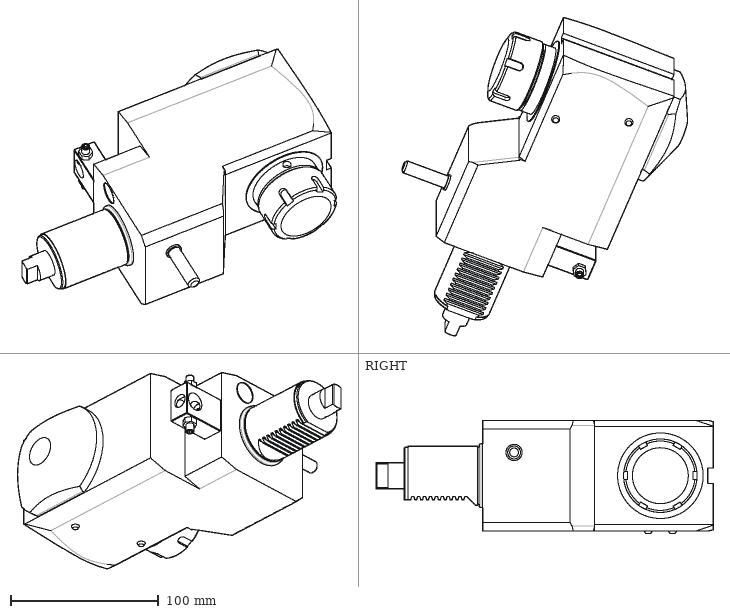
import cadquery as cq
import math


HEIGHT = 75.0
HALF_HEIGHT = HEIGHT / 2
HEAD_LEFT, HEAD_RIGHT = -71.5, 9.1
HEAD_FRONT, HEAD_BACK = 35.0, 156.0
NECK_LEFT, NECK_RIGHT = -38.5, 39.2
SLANT_INNER_Y, SLANT_OUTER_Y = 75.7, 59.0
BEVEL_ANGLE = math.radians(15)
BEVEL_TAN = math.tan(BEVEL_ANGLE)
LEFT_BEVEL_WIDTH = 14.1
HEAD_CHAMFER, NECK_CHAMFER = 4.3, 6.0
SLANT_BEVEL_WIDTH = 1.0
CROWN_X = -18.2
CROWN_DROP = 1.0
CORNER_DROP = 4.0
LEFT_CROWN_SLOPE, RIGHT_CROWN_SLOPE = 0.05, -0.22
KEYWAY_WIDTH, KEYWAY_DEPTH = 10.3, 3.6
PLUG_X, PLUG_Z, PLUG_RADIUS, PLUG_DEPTH = -16.0, 27.5, 7.5, 0.7
BUTTON_PLACES = [(-49.7, 128.4), (-3.0, 112.0)]
BUTTON_TOP_RADIUS, BUTTON_TIP_RADIUS, BUTTON_HEIGHT = 2.7, 1.8, 1.5

SPINDLE_Y = 120.2
SEAT_RADIUS, SEAT_END = 29.0, 9.8
RING_RADIUS, RING_END = 24.0, 17.3
GROOVE_RADIUS, NUT_START = 20.7, 19.0
NUT_RADIUS, NUT_END = 24.9, 42.2
NUT_BACK_CHAMFER = 1.0
NUT_SHOULDER_START, NUT_SHOULDER_END = 39.2, 40.5
NUT_SHOULDER_RADIUS, NUT_FACE_RADIUS = 23.5, 19.0
NUT_SLOTS = 6
SLOT_WIDTH, SLOT_DEPTH, SLOT_START = 5.5, 2.7, 29.0
RING_HOLE_X, RING_HOLE_RADIUS, RING_HOLE_DEPTH = 13.5, 2.7, 5.7
CAP_TIP, CAP_TIP_RADIUS = -91.9, 10.0
CAP_RIM, CAP_RADIUS = -77.7, 40.0
CAP_LIP_LENGTH = 1.5
CAP_BACK_CUT = 31.7
CAP_CORNER = 7.3

SHANK_RADIUS = 20.0
FLANGE_RADIUS, FLANGE_LENGTH, FLANGE_ROUND = 21.7, 2.5, 1.4
SHANK_END = 53.1
RELIEF_RADIUS, RELIEF_END = 19.4, 3.5
END_BAND_RADIUS, END_BAND_START = 19.4, 50.5
END_CHAMFER = 0.7
RACK_TIP, RACK_ROOT = 16.5, 14.1
RACK_PITCH, RACK_VALLEYS = 4.0, 10
FIRST_VALLEY = 11.5
VALLEY_FLOOR, VALLEY_MOUTH = 1.4, 2.7
TANG_RADIUS, TANG_SHOULDER, TANG_END = 9.0, 64.0, 72.0
TANG_WIDTH, TANG_CHAMFER = 8.2, 0.7

PIN_Y, PIN_Z, PIN_RADIUS, PIN_END = 21.2, 15.7, 4.3, 71.5
PIN_CHAMFER = 1.4
PIN_COLLAR_RADIUS, PIN_COLLAR_END = 5.5, 40.5

BLOCK_LEFT, BLOCK_FRONT, BLOCK_BACK = -71.0, 1.1, 16.6
BLOCK_HEIGHT, BLOCK_CHAMFER = 25.0, 0.5
PORT_X, PORT_RADIUS, PORT_DEPTH = -63.0, 6.4, 12.3
SIDE_PORT_Y, SIDE_PORT_RADIUS, SIDE_PORT_DEPTH = 7.8, 4.8, 17.0
FEED_RADIUS, FEED_DEPTH = 1.4, 22.8
STUD_Y, STUD_RADIUS, STUD_TIP, STUD_CHAMFER = 6.2, 2.7, 22.1, 0.5
SOCKET_SIZE, SOCKET_DEPTH = 3.2, 2.3
HEX_SIZE, HEX_TIP = 9.5, 16.5

OVERLAP = 2.3


def revolve_along_x(profile, y, z):
    """Turn a profile of (x, radius) points about the X-parallel axis through (y, z)."""
    sketch = cq.Workplane("XY", origin=(0, y, z)).polyline(profile).close()
    return sketch.revolve(360, (0, 0, 0), (1, 0, 0))


def beveled_block(left, right, front, back, chamfer):
    """Block with shallow bevels on the left edges and 45 degree chamfers on the right."""
    left_height = HALF_HEIGHT - LEFT_BEVEL_WIDTH * BEVEL_TAN
    upper = [
        (left, left_height),
        (left + LEFT_BEVEL_WIDTH, HALF_HEIGHT),
        (right - chamfer, HALF_HEIGHT),
        (right, HALF_HEIGHT - chamfer),
    ]
    lower = [(x, -z) for x, z in reversed(upper)]
    section = cq.Workplane("XZ", origin=(0, front, 0)).polyline(upper + lower).close()
    return section.extrude(front - back)


def back_bevel():
    """Wedge above a crowned line on the back face, rising toward the front at the bevel angle."""
    corner = HALF_HEIGHT - CORNER_DROP
    crown = HALF_HEIGHT - CROWN_DROP
    left = cq.Vector(HEAD_LEFT, HEAD_BACK, corner)
    right = cq.Vector(HEAD_RIGHT, HEAD_BACK, corner)
    top = cq.Vector(CROWN_X, HEAD_BACK, crown)
    slopes = (LEFT_CROWN_SLOPE, 0, RIGHT_CROWN_SLOPE)
    tangents = [cq.Vector(1, 0, slope) for slope in slopes]
    curve = cq.Edge.makeSpline([left, top, right], tangents)
    rise = cq.Vector(0, 0, HALF_HEIGHT)
    sides = cq.Wire.makePolygon([right, right + rise, left + rise, left])
    face = cq.Face.makeFromWires(cq.Wire.assembleEdges([curve] + sides.Edges()))
    reach = HEAD_BACK - HEAD_FRONT
    return cq.Workplane(cq.Solid.extrudeLinear(face, cq.Vector(0, -reach, reach * BEVEL_TAN)))


def head():
    body = beveled_block(HEAD_LEFT, HEAD_RIGHT, HEAD_FRONT, HEAD_BACK, HEAD_CHAMFER)
    bevel = back_bevel()
    return body.cut(bevel).cut(bevel.mirror("XY"))


def neck():
    body = beveled_block(NECK_LEFT, NECK_RIGHT, 0, SLANT_INNER_Y, NECK_CHAMFER)
    run = NECK_RIGHT - HEAD_RIGHT
    drop = SLANT_INNER_Y - SLANT_OUTER_Y
    bevel_start = HALF_HEIGHT - SLANT_BEVEL_WIDTH / BEVEL_TAN
    section = [
        (0, bevel_start),
        (-SLANT_BEVEL_WIDTH, HALF_HEIGHT),
        (run, HALF_HEIGHT),
        (run, -HALF_HEIGHT),
        (-SLANT_BEVEL_WIDTH, -HALF_HEIGHT),
        (0, -bevel_start),
    ]
    across_slant = cq.Plane((HEAD_RIGHT, SLANT_INNER_Y, 0), (drop, run, 0), (run, -drop, 0))
    slant = cq.Workplane(across_slant).polyline(section).close().extrude(2 * run)
    return body.cut(slant)


def keyway():
    """Shallow slot across the whole back face."""
    length = HEAD_RIGHT - HEAD_LEFT
    slot = cq.Workplane("XY").box(
        length, KEYWAY_DEPTH, KEYWAY_WIDTH, centered=(False, False, True)
    )
    return slot.translate((HEAD_LEFT, HEAD_BACK - KEYWAY_DEPTH, 0))


def plug_recess():
    return cq.Workplane("XZ").center(PLUG_X, PLUG_Z).circle(PLUG_RADIUS).extrude(-PLUG_DEPTH)


def buttons():
    """Small tapered buttons on the underside."""
    base = cq.Workplane("XY", origin=(0, 0, -HALF_HEIGHT)).pushPoints(BUTTON_PLACES)
    taper = math.degrees(math.atan2(BUTTON_TOP_RADIUS - BUTTON_TIP_RADIUS, BUTTON_HEIGHT))
    return base.circle(BUTTON_TOP_RADIUS).extrude(-BUTTON_HEIGHT, taper=taper)


def cap():
    """Conical cap on the left, trimmed to the housing outline."""
    cone = revolve_along_x(
        [
            (CAP_TIP, 0),
            (CAP_TIP, CAP_TIP_RADIUS),
            (CAP_RIM, CAP_RADIUS),
            (HEAD_LEFT + OVERLAP, CAP_RADIUS),
            (HEAD_LEFT + OVERLAP, 0),
        ],
        SPINDLE_Y,
        0,
    )
    length = HEAD_LEFT + OVERLAP - CAP_TIP
    lip_x = HEAD_LEFT - CAP_LIP_LENGTH
    lip_z = HALF_HEIGHT - (LEFT_BEVEL_WIDTH + CAP_LIP_LENGTH) * BEVEL_TAN
    tip_z = lip_z - (lip_x - CAP_TIP) * BEVEL_TAN
    upper = [(CAP_TIP, tip_z), (lip_x, lip_z), (HEAD_LEFT + OVERLAP, lip_z)]
    lower = [(x, -z) for x, z in reversed(upper)]
    side_envelope = (
        cq.Workplane("XZ", origin=(0, SPINDLE_Y, 0))
        .polyline(upper + lower)
        .close()
        .extrude(CAP_RADIUS, both=True)
    )
    back_width = CAP_RADIUS + CAP_BACK_CUT
    end_envelope = (
        cq.Workplane("XY")
        .box(length, back_width, 2 * lip_z, centered=(False, False, True))
        .translate((CAP_TIP, SPINDLE_Y - CAP_RADIUS, 0))
        .edges("|X and >Y")
        .chamfer(CAP_CORNER)
    )
    return cone.intersect(side_envelope).intersect(end_envelope)


def spindle():
    """Seat disc, ring, groove and collet nut, stepping out to the right."""
    body = revolve_along_x(
        [
            (HEAD_RIGHT - OVERLAP, 0),
            (HEAD_RIGHT - OVERLAP, SEAT_RADIUS),
            (SEAT_END, SEAT_RADIUS),
            (SEAT_END, RING_RADIUS),
            (RING_END, RING_RADIUS),
            (RING_END, GROOVE_RADIUS),
            (NUT_START, GROOVE_RADIUS),
            (NUT_START, NUT_RADIUS - NUT_BACK_CHAMFER),
            (NUT_START + NUT_BACK_CHAMFER, NUT_RADIUS),
            (NUT_SHOULDER_START, NUT_RADIUS),
            (NUT_SHOULDER_END, NUT_SHOULDER_RADIUS),
            (NUT_END, NUT_FACE_RADIUS),
            (NUT_END, 0),
        ],
        SPINDLE_Y,
        0,
    )
    slot = (
        cq.Workplane("XY", origin=(0, SPINDLE_Y, NUT_RADIUS - SLOT_DEPTH))
        .moveTo(NUT_END, SLOT_WIDTH / 2)
        .lineTo(SLOT_START + SLOT_WIDTH / 2, SLOT_WIDTH / 2)
        .threePointArc((SLOT_START, 0), (SLOT_START + SLOT_WIDTH / 2, -SLOT_WIDTH / 2))
        .lineTo(NUT_END, -SLOT_WIDTH / 2)
        .close()
        .extrude(2 * SLOT_DEPTH)
    )
    step = 360 / NUT_SLOTS
    for index in range(NUT_SLOTS):
        angle = (index + 0.5) * step
        body = body.cut(slot.rotate((0, SPINDLE_Y, 0), (1, SPINDLE_Y, 0), angle))
    ring_hole = (
        cq.Workplane("XY", origin=(RING_HOLE_X, SPINDLE_Y, NUT_RADIUS))
        .circle(RING_HOLE_RADIUS)
        .extrude(-RING_HOLE_DEPTH)
    )
    return body.cut(ring_hole)


def shank():
    """Round shank with a flange at the housing and a toothed flat on its underside."""
    profile = [
        (0, -OVERLAP),
        (RELIEF_RADIUS, -OVERLAP),
        (RELIEF_RADIUS, RELIEF_END),
        (SHANK_RADIUS, RELIEF_END),
        (SHANK_RADIUS, END_BAND_START),
        (END_BAND_RADIUS, END_BAND_START),
        (END_BAND_RADIUS, SHANK_END - END_CHAMFER),
        (END_BAND_RADIUS - END_CHAMFER, SHANK_END),
        (0, SHANK_END),
    ]
    body = (
        cq.Workplane("XY")
        .polyline([(radius, -distance) for radius, distance in profile])
        .close()
        .revolve(360, (0, 0, 0), (0, 1, 0))
    )
    flange = (
        cq.Workplane("XZ", origin=(0, OVERLAP, 0))
        .circle(FLANGE_RADIUS)
        .extrude(FLANGE_LENGTH + OVERLAP)
        .faces("<Y")
        .edges()
        .fillet(FLANGE_ROUND)
    )
    ramp_start = VALLEY_FLOOR / 2 - FIRST_VALLEY
    ramp = SHANK_RADIUS - RACK_ROOT
    flat = (
        cq.Workplane("YZ")
        .polyline(
            [
                (ramp_start, -RACK_ROOT),
                (ramp_start + ramp, -SHANK_RADIUS),
                (-SHANK_END, -SHANK_RADIUS),
                (-SHANK_END, -RACK_TIP),
                (-FIRST_VALLEY, -RACK_TIP),
                (-FIRST_VALLEY, -RACK_ROOT),
            ]
        )
        .close()
        .extrude(SHANK_RADIUS, both=True)
    )
    body = body.cut(flat)
    valley = (
        cq.Workplane("YZ")
        .polyline(
            [
                (-VALLEY_FLOOR / 2, -RACK_ROOT),
                (VALLEY_FLOOR / 2, -RACK_ROOT),
                (VALLEY_MOUTH / 2, -RACK_TIP),
                (-VALLEY_MOUTH / 2, -RACK_TIP),
            ]
        )
        .close()
        .extrude(SHANK_RADIUS, both=True)
    )
    for index in range(RACK_VALLEYS):
        body = body.cut(valley.translate((0, -FIRST_VALLEY - index * RACK_PITCH, 0)))
    return body.union(flange)


def tang():
    """Round drive stub ending in a flat tang."""
    stub = cq.Workplane("XZ", origin=(0, OVERLAP - SHANK_END, 0)).circle(TANG_RADIUS)
    stub = stub.extrude(TANG_END + OVERLAP - SHANK_END)
    blade = (
        cq.Workplane("XY")
        .box(TANG_WIDTH, TANG_END, 2 * TANG_RADIUS, centered=(True, False, True))
        .translate((0, -TANG_END, 0))
        .edges("|Z and <Y")
        .chamfer(TANG_CHAMFER)
    )
    waste = (
        cq.Workplane("XZ", origin=(0, -TANG_SHOULDER, 0))
        .circle(2 * TANG_RADIUS)
        .extrude(TANG_END - TANG_SHOULDER)
        .cut(blade)
    )
    return stub.cut(waste)


def pin():
    return revolve_along_x(
        [
            (NECK_RIGHT - OVERLAP, 0),
            (NECK_RIGHT - OVERLAP, PIN_COLLAR_RADIUS),
            (PIN_COLLAR_END, PIN_COLLAR_RADIUS),
            (PIN_COLLAR_END, PIN_RADIUS),
            (PIN_END - PIN_CHAMFER, PIN_RADIUS),
            (PIN_END, PIN_RADIUS - PIN_CHAMFER),
            (PIN_END, 0),
        ],
        PIN_Y,
        PIN_Z,
    )


def coolant_block():
    """Block on the left of the neck with two ports and a clamped stud through it."""
    length = NECK_LEFT - BLOCK_LEFT
    depth = BLOCK_BACK - BLOCK_FRONT
    block = (
        cq.Workplane("XY")
        .box(length, depth, BLOCK_HEIGHT, centered=(False, False, True))
        .translate((BLOCK_LEFT, BLOCK_FRONT, 0))
        .edges("not >X")
        .chamfer(BLOCK_CHAMFER)
    )
    stud = (
        cq.Workplane("XY", origin=(PORT_X, STUD_Y, -STUD_TIP))
        .circle(STUD_RADIUS)
        .extrude(2 * STUD_TIP)
        .faces("<Z or >Z")
        .chamfer(STUD_CHAMFER)
    )
    socket = (
        cq.Workplane("XY", origin=(PORT_X, STUD_Y, STUD_TIP))
        .polygon(6, SOCKET_SIZE)
        .extrude(-SOCKET_DEPTH)
    )
    hexes = (
        cq.Workplane("XY", origin=(PORT_X, STUD_Y, -HEX_TIP))
        .polygon(6, HEX_SIZE)
        .extrude(2 * HEX_TIP)
    )
    port = (
        cq.Workplane("XZ", origin=(PORT_X, BLOCK_FRONT, 0))
        .circle(PORT_RADIUS)
        .extrude(-PORT_DEPTH)
    )
    side_port = (
        cq.Workplane("YZ", origin=(BLOCK_LEFT, SIDE_PORT_Y, 0))
        .circle(SIDE_PORT_RADIUS)
        .extrude(SIDE_PORT_DEPTH)
    )
    feed = (
        cq.Workplane("YZ", origin=(BLOCK_LEFT, SIDE_PORT_Y, 0))
        .circle(FEED_RADIUS)
        .extrude(FEED_DEPTH)
    )
    body = block.union(stud).union(hexes)
    for hollow in (port, side_port, feed, socket, socket.mirror("XY")):
        body = body.cut(hollow)
    return body


housing = head().union(neck()).cut(keyway()).cut(plug_recess())
result = housing
for attachment in (cap, spindle, shank, tang, pin, coolant_block, buttons):
    result = result.union(attachment())